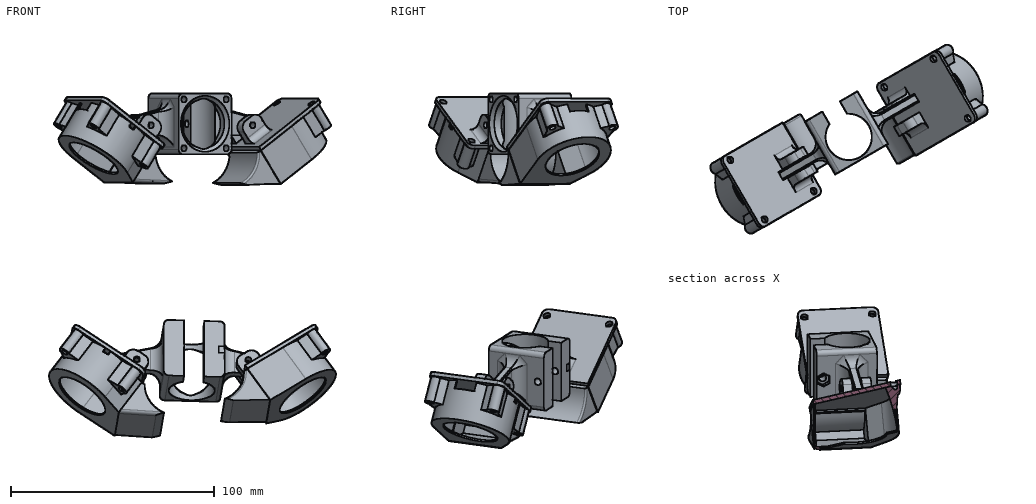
import cadquery as cq
import math

arm_heading = 30.0

clamp_side = 30.0
clamp_front = -12.7
clamp_back = clamp_front + clamp_side
clamp_half = clamp_side / 2
clamp_edge_radius = 2.5
bore_diameter = 22.6
split_width = 10.0
fan_hole_diameter = 24.0
fan_hole_depth = 5.7
fan_rim_diameter = 27.5
fan_screw_pitch = 24.0
fan_screw_diameter = 3.0
fan_screw_depth = 6.8
clamp_screw_y = 13.9
clamp_screw_diameter = 3.4
nut_corner_width = 7.0
nut_depth = 3.0

arm_width = 4.6
arm_root_x = 13.6
arm_root_top = 7.9
arm_bottom = -5.6
arm_tip_x = 38.6
arm_tip_top = 2.2
arm_tip_bottom = -0.1
arm_taper_x = 30.5
arm_root_radius = 5.7
arm_edge_chamfer = 0.7

pivot_x = 27.4
pivot_z = -0.7
pivot_diameter = 3.0

head_half = 20.0
head_reach = 21.1
lid_thickness = 2.0
screw_half_pitch = 16.9
lid_screw_diameter = 3.4
lid_corner_radius = 3.0
lug_half_length = 6.0
lug_rise = 4.1
lug_corner_radius = 4.0
lug_foot_radius = 3.4

housing_depth = 20.0
housing_top = -lid_thickness
housing_bottom = housing_top - housing_depth
wall = 1.0
floor_thickness = 1.0
housing_half = 19.8
intake_diameter = 27.5
boss_diameter = 6.0
boss_height = 12.7
boss_hole_diameter = 3.0
web_inner_radius = 19.1
web_long_flare = 6.7
web_short_flare = 4.6
web_outer_half = 2.7
wire_slot_width = 10.8
wire_slot_height = 4.4
notch_width = 3.0
notch_height = 2.0

duct_setback = 0.4
duct_start = duct_setback - housing_half
duct_end = 8.5
duct_lip_radius = 1.0
duct_sole_radius = 1.6
hollow_x = -36.4
hollow_z = 6.8
hollow_radius = 16.1
duct_tip_angle = -100.4
duct_heel_x = -36.5
duct_heel_z = -12.1
channel_end_angle = -75.0

screw_corners = [
    (screw_half_pitch, screw_half_pitch),
    (screw_half_pitch, -screw_half_pitch),
    (-screw_half_pitch, screw_half_pitch),
]


def block(x_min, x_max, y_min, y_max, z_min, z_max):
    """A box given by its limits on the three axes."""
    size = (x_max - x_min, y_max - y_min, z_max - z_min)
    return cq.Workplane("XY").box(*size, centered=False).translate((x_min, y_min, z_min))


def rod_along_y(x, z, diameter, y_min, y_max):
    """A round rod parallel to Y."""
    rod = cq.Workplane("XZ").center(x, z).circle(diameter / 2).extrude(y_min - y_max)
    return rod.translate((0, y_min, 0))


def make_arm():
    """The arm on the +X side: a sloping plate with its underside cut back at the tip."""
    outline = [
        (arm_root_x, arm_root_top),
        (clamp_half, arm_root_top),
        (arm_tip_x, arm_tip_top),
        (arm_tip_x, arm_tip_bottom),
        (arm_taper_x, arm_bottom),
        (arm_root_x, arm_bottom),
    ]
    arm = cq.Workplane("XZ").polyline(outline).close().extrude(arm_width / 2, both=True)
    top = cq.selectors.BoxSelector(
        (clamp_half + 1.4, -arm_width, arm_tip_bottom), (arm_tip_x - 1.4, arm_width, arm_root_top)
    )
    return arm.edges(top).chamfer(arm_edge_chamfer)


def make_clamp():
    body = block(-clamp_half, clamp_half, clamp_front, clamp_back, -clamp_half, clamp_half)
    body = body.edges("|Y").fillet(clamp_edge_radius)

    arm = make_arm()
    body = body.union(arm).union(arm.rotate((0, 0, 0), (0, 0, 1), 180))
    margin = 0.01
    for side in (1, -1):
        root = cq.selectors.BoxSelector(
            (side * clamp_half - margin, -arm_width, arm_bottom - 1.4),
            (side * clamp_half + margin, arm_width, arm_root_top + 1.4),
        )
        body = body.edges(root).fillet(arm_root_radius)

    bore = cq.Workplane("XY").circle(bore_diameter / 2).extrude(clamp_half, both=True)
    split = block(-split_width / 2, split_width / 2, 0, clamp_back, -clamp_half, clamp_half)

    rim_depth = (fan_rim_diameter - fan_hole_diameter) / 2
    fan_face = cq.Workplane("XZ", origin=(0, clamp_front, 0))
    fan_hole = fan_face.circle(fan_hole_diameter / 2).extrude(-fan_hole_depth)
    rim = cq.Workplane(
        cq.Solid.makeCone(
            fan_rim_diameter / 2, fan_hole_diameter / 2, rim_depth,
            pnt=cq.Vector(0, clamp_front, 0), dir=cq.Vector(0, 1, 0),
        )
    )
    fan_screws = (
        fan_face.rect(fan_screw_pitch, fan_screw_pitch, forConstruction=True)
        .vertices().circle(fan_screw_diameter / 2).extrude(-fan_screw_depth)
    )

    screw_axis = cq.Workplane("YZ", origin=(-clamp_half, clamp_screw_y, 0))
    clamp_screw = screw_axis.circle(clamp_screw_diameter / 2).extrude(clamp_side)
    nut = screw_axis.transformed(rotate=(0, 0, 90)).polygon(6, nut_corner_width).extrude(nut_depth)

    for cutter in (bore, split, fan_hole, rim, fan_screws, clamp_screw, nut):
        body = body.cut(cutter)

    for side in (1, -1):
        body = body.cut(rod_along_y(side * pivot_x, pivot_z, pivot_diameter, -arm_width, arm_width))
    return body


def make_lug(hinge_x, hinge_z, y_inner, y_outer):
    """One hinge lug with a concave foot on its outer side."""
    x_min = hinge_x - lug_half_length
    x_max = hinge_x + lug_half_length
    y_min = min(y_inner, y_outer)
    y_max = max(y_inner, y_outer)
    lug = block(x_min, x_max, y_min, y_max, -lid_thickness / 2, hinge_z + lug_rise)
    lug = lug.edges("|Y and >Z").fillet(lug_corner_radius)

    outward = math.copysign(lug_foot_radius, y_outer - y_inner)
    bend = 1 - math.sqrt(0.5)
    foot = (
        cq.Workplane("YZ", origin=(x_min, 0, 0))
        .moveTo(y_outer, 0)
        .lineTo(y_outer + outward, 0)
        .threePointArc((y_outer + outward * bend, lug_foot_radius * bend), (y_outer, lug_foot_radius))
        .close()
        .extrude(x_max - x_min)
    )
    return lug.union(foot)


def make_lid(hinge_x, hinge_z, lug_spans):
    plate = block(-head_reach, head_reach, -head_half, head_half, -lid_thickness, 0)
    plate = plate.edges("|Z").edges(">X or >Y").fillet(lid_corner_radius)
    screws = cq.Workplane("XY").pushPoints(screw_corners).circle(lid_screw_diameter / 2)
    lid = plate.cut(screws.extrude(-lid_thickness))
    for y_inner, y_outer in lug_spans:
        lid = lid.union(make_lug(hinge_x, hinge_z, y_inner, y_outer))
    return lid.cut(rod_along_y(hinge_x, hinge_z, pivot_diameter, -head_half, head_half))


def scroll(inset, z_min, z_max):
    """The barrel with its run toward the duct, whose sides are tangent to it, drawn in by an inset."""
    corner_x = inset - head_reach
    corner_y = duct_end - inset
    radius = housing_half - inset
    barrel = cq.Workplane("XY", origin=(0, 0, z_min)).circle(radius).extrude(z_max - z_min)
    corner_distance = math.hypot(corner_x, corner_y)
    tangent_angle = math.atan2(corner_y, corner_x) - math.acos(radius / corner_distance)
    run = (
        cq.Workplane("XY", origin=(0, 0, z_min))
        .polyline([
            (0, 0),
            (0, -radius),
            (corner_x, -radius),
            (corner_x, corner_y),
            (radius * math.cos(tangent_angle), radius * math.sin(tangent_angle)),
        ])
        .close()
        .extrude(z_max - z_min)
    )
    return barrel.union(run)


def hollow_point(angle, radius):
    """A point on a circle about the axis of the hollow."""
    turn = math.radians(angle)
    return hollow_x + radius * math.cos(turn), hollow_z + radius * math.sin(turn)


def angle_at_height(z, radius):
    """Where a circle about the axis of the hollow reaches height z."""
    return math.degrees(math.asin((z - hollow_z) / radius))


def duct_prism(radius, back_x, top_z, end_angle, end_bottom, back_bottom, y_min, y_max):
    """A prism along Y under the hollow, closed by a sloping underside."""
    start_angle = angle_at_height(top_z, radius)
    middle = hollow_point((start_angle + end_angle) / 2, radius)
    return (
        cq.Workplane("XZ")
        .moveTo(back_x, top_z)
        .lineTo(*hollow_point(start_angle, radius))
        .threePointArc(middle, hollow_point(end_angle, radius))
        .lineTo(*end_bottom)
        .lineTo(back_x, back_bottom)
        .close()
        .extrude(y_min - y_max)
        .translate((0, y_min, 0))
    )


def make_duct():
    heel = (duct_heel_x, duct_heel_z)
    back_x = -head_reach + wall / 2
    duct = duct_prism(
        hollow_radius, back_x, housing_top, duct_tip_angle, heel, housing_bottom, duct_start, duct_end
    )
    duct = duct.faces("<Y").edges("%CIRCLE").fillet(duct_lip_radius)
    sole = cq.selectors.NearestToPointSelector(
        ((heel[0] + back_x) / 2, duct_end, (heel[1] + housing_bottom) / 2)
    )
    return duct.edges(sole).fillet(duct_sole_radius)


def make_duct_channel():
    """The air passage inside the duct, one wall in from the duct's outside."""
    slope = (duct_heel_z - housing_bottom) / (duct_heel_x + head_reach)
    radius = hollow_radius + wall
    end_x = hollow_point(channel_end_angle, radius)[0]
    rise = wall * math.hypot(1, slope)
    end_bottom = (end_x, duct_heel_z + slope * (end_x - duct_heel_x) + rise)
    back_x = -head_reach + 2 * wall
    return duct_prism(
        radius, back_x, housing_top - wall, channel_end_angle, end_bottom,
        housing_bottom + floor_thickness, duct_start + wall, duct_end - wall,
    )


def make_boss(x, y):
    """A screw boss and the web joining it to the barrel, flared most on the side facing x = 0."""
    side = math.copysign(1, x * y)
    boss = cq.Workplane("XY").center(x, y).circle(boss_diameter / 2).extrude(-boss_height)
    web = (
        cq.Workplane("XY")
        .polyline([
            (web_inner_radius, -side * web_short_flare),
            (math.hypot(x, y), -side * web_outer_half),
            (math.hypot(x, y), side * web_outer_half),
            (web_inner_radius, side * web_long_flare),
        ])
        .close()
        .extrude(-boss_height)
        .rotate((0, 0, 0), (0, 0, 1), math.degrees(math.atan2(y, x)))
    )
    return boss.union(web).translate((0, 0, housing_top))


def make_housing():
    body = scroll(0, housing_bottom, housing_top).union(make_duct())
    for x, y in screw_corners:
        body = body.union(make_boss(x, y))

    cavity = scroll(wall, housing_bottom + floor_thickness, housing_top)
    intake = (
        cq.Workplane("XY", origin=(0, 0, housing_bottom))
        .circle(intake_diameter / 2)
        .extrude(housing_depth)
    )
    boss_holes = (
        cq.Workplane("XY", origin=(0, 0, housing_top))
        .pushPoints(screw_corners)
        .circle(boss_hole_diameter / 2)
        .extrude(-boss_height)
    )
    wire_slot = block(
        0, 2 * head_half, -wire_slot_width / 2, wire_slot_width / 2,
        housing_top - wire_slot_height, housing_top,
    )
    notch = block(
        -notch_width / 2, notch_width / 2, 0, 2 * head_half, housing_top - notch_height, housing_top
    )
    for cutter in (cavity, make_duct_channel(), intake, boss_holes, wire_slot, notch):
        body = body.cut(cutter)
    return body


def place_head(body, hinge_x, hinge_z, tilt, side_shift, turn):
    """Hang a head's body on the pivot, tilt it outward-up and turn it to its side."""
    return (
        body.translate((-hinge_x, -side_shift, -hinge_z))
        .rotate((0, 0, 0), (0, 1, 0), -tilt)
        .translate((pivot_x, 0, pivot_z))
        .rotate((0, 0, 0), (0, 0, 1), turn + arm_heading)
    )


heads = [
    (-12.1, 6.8, 34.4, 4.5, 0, [(-6.8, -12.1), (2.5, 4.0)]),
    (-13.2, 6.7, 34.4, 2.5, 180, [(-2.5, -7.1), (2.5, 7.1)]),
]

clamp = make_clamp().rotate((0, 0, 0), (0, 0, 1), arm_heading)
housing = make_housing()

bodies = [clamp.val()]
for hinge_x, hinge_z, tilt, side_shift, turn, lugs in heads:
    lug_spans = [(side_shift + inner, side_shift + outer) for inner, outer in lugs]
    lid = make_lid(hinge_x, hinge_z, lug_spans)
    for part in (lid, housing):
        bodies.append(place_head(part, hinge_x, hinge_z, tilt, side_shift, turn).val())

result = cq.Compound.makeCompound(bodies)